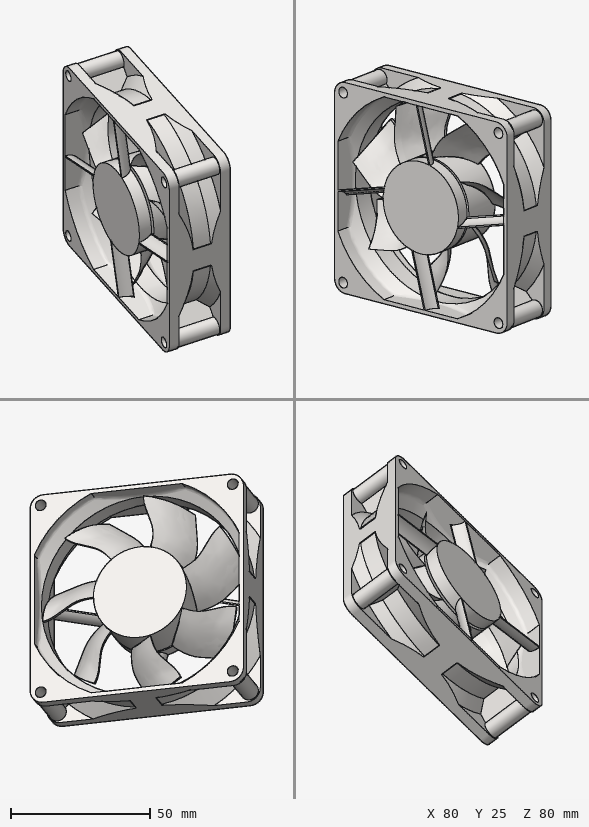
import cadquery as cq
import math


side = 80.0
depth = 25.0
front_y = -depth / 2
back_y = depth / 2
corner_radius = 5.0
flange = 4.0
hole_offset = 36.0
hole_diameter = 4.0
post_radius = 3.3
web_thickness = 2.0
side_bar_width = 9.8

duct_radius = 40.0
duct_front_y = -2.5
duct_back_y = 4.5

bore_radius = 38.0
mouth_radius = 42.0
mouth_half_width = 38.4
mouth_fillet = 2.0
bore_front_y = -3.0
bore_back_y = 5.0
flare_length = 3.5
flare_overrun = 3.2

cap_radius = 17.4
cap_depth = 5.0
cap_back_y = front_y + cap_depth
strut_count = 4
strut_angle = 15.0
strut_front_offset = -8.5
strut_back_offset = -6.1
strut_thickness = 0.6
strut_bow = 0.6
strut_start = 12.0
strut_embed = 0.4

rotor_gap = 1.0
rotor_front_y = cap_back_y + rotor_gap
rotor_back_y = 8.5
rotor_radius = cap_radius
blade_count = 7
blade_angle = 215.0
blade_tip_radius = 37.2
blade_back_y = 8.0
blade_thickness = 1.2
bevel_rise = 2.2
bevel_run = 1.6
hub_bow = 1.0
tip_bow = 1.8
blade_sections = [
    (13.6, 8.5, -1.8),
    (19.2, 9.0, -3.0),
    (24.8, 8.2, -5.4),
    (30.4, 5.8, -10.2),
    (38.4, 1.9, -13.6),
]


def disc(radius, start_y, end_y):
    """A cylinder on the fan axis."""
    return cq.Workplane("XZ", origin=(0, start_y, 0)).circle(radius).extrude(start_y - end_y)


def block(width_x, width_z, start_y, end_y):
    """A box centred on the fan axis."""
    return cq.Workplane("XZ", origin=(0, start_y, 0)).rect(width_x, width_z).extrude(start_y - end_y)


def corner_cylinders(radius):
    """Four full-depth cylinders on the screw positions."""
    return (
        cq.Workplane("XZ", origin=(0, front_y, 0))
        .rect(2 * hole_offset, 2 * hole_offset, forConstruction=True)
        .vertices()
        .circle(radius)
        .extrude(-depth)
    )


def revolved(profile):
    """Turns an outline of (radius, y) points about the fan axis."""
    return cq.Workplane("XY").polyline(profile).close().revolve(360, (0, 0, 0), (0, 1, 0))


def turned(body, angle):
    """Turns a body about the fan axis, counterclockwise as seen from -Y."""
    return body.rotate((0, 0, 0), (0, -1, 0), angle)


def arc_middle(start, end, bow):
    """The middle point of an arc between two (y, offset) points that rises by bow above its chord."""
    rise = end[0] - start[0]
    run = end[1] - start[1]
    chord = math.hypot(rise, run)
    middle_y = (start[0] + end[0]) / 2 - bow * run / chord
    middle_offset = (start[1] + end[1]) / 2 + bow * rise / chord
    return (middle_y, middle_offset)


def vane_outline(plane, outer_front, outer_back, inner_back, inner_front, bow):
    """Draws the section of a curved vane, two equal-bow arcs joined by straight ends."""
    return (
        plane.moveTo(*outer_front)
        .threePointArc(arc_middle(outer_front, outer_back, bow), outer_back)
        .lineTo(*inner_back)
        .threePointArc(arc_middle(inner_back, inner_front, -bow), inner_front)
        .close()
    )


def make_duct_outside():
    """The outer shape of the duct, flared out past the corners of the frame at both faces."""
    return revolved([
        (0, front_y),
        (duct_radius + duct_front_y - front_y, front_y),
        (duct_radius, duct_front_y),
        (duct_radius, duct_back_y),
        (duct_radius + back_y - duct_back_y, back_y),
        (0, back_y),
    ])


def make_mouth(face_y, bore_y):
    """The space inside one end of the duct, from the flare to the outer face."""
    outward = math.copysign(1, face_y)
    throat_y = bore_y - outward * flare_overrun
    flare_slope = (mouth_radius - bore_radius) / flare_length
    flared = revolved([
        (0, throat_y),
        (bore_radius - flare_slope * flare_overrun, throat_y),
        (mouth_radius, bore_y + outward * flare_length),
        (mouth_radius, face_y),
        (0, face_y),
    ])
    mouth = flared.intersect(block(2 * mouth_half_width, 2 * mouth_half_width, throat_y, face_y))
    return mouth.edges("not %LINE").edges("not(<Y or >Y)").fillet(mouth_fillet)


def make_frame():
    """The square frame with its duct, flanges, corner posts and pockets, without the stator."""
    outline = block(side, side, front_y, back_y).edges("|Y").fillet(corner_radius)
    flanges = outline.cut(block(side, side, front_y + flange, back_y - flange))

    core = make_duct_outside()
    core = core.union(block(side_bar_width, side, front_y, back_y))
    core = core.union(block(side, side_bar_width, front_y, back_y))
    post_diagonal = 2 * math.sqrt(2) * hole_offset
    for angle in (45, 135):
        core = core.union(turned(block(post_diagonal, web_thickness, front_y, back_y), angle))
    core = core.union(corner_cylinders(post_radius))

    frame = outline.intersect(core).union(flanges)
    frame = frame.cut(disc(bore_radius, front_y, back_y))
    frame = frame.cut(make_mouth(front_y, bore_front_y))
    frame = frame.cut(make_mouth(back_y, bore_back_y))
    return frame.cut(corner_cylinders(hole_diameter / 2))


def make_strut():
    """One strut along +X, from inside the cap to beyond the wall of the mouth."""
    strut = vane_outline(
        cq.Workplane("YZ", origin=(strut_start, 0, 0)),
        (front_y, strut_front_offset),
        (cap_back_y, strut_back_offset),
        (cap_back_y, strut_back_offset + strut_thickness),
        (front_y, strut_front_offset + strut_thickness),
        -strut_bow,
    )
    return strut.extrude(side - strut_start)


def make_stator():
    """The cap with its struts, trimmed square inside the walls of the mouth."""
    stator = disc(cap_radius, front_y, cap_back_y)
    for index in range(strut_count):
        stator = stator.union(turned(make_strut(), strut_angle + index * 360 / strut_count))
    width = 2 * (mouth_half_width + strut_embed)
    return stator.intersect(block(width, width, front_y, cap_back_y))


def make_housing():
    """The frame and the stator as one body."""
    return make_frame().union(make_stator())


def make_blade():
    """One blade along +X with a bevelled front edge, trimmed to the tip radius."""
    first_distance = blade_sections[0][0]
    last_distance = blade_sections[-1][0]
    sections = cq.Workplane("YZ")
    reached = 0
    for distance, front_offset, back_offset in blade_sections:
        share = (distance - first_distance) / (last_distance - first_distance)
        sections = vane_outline(
            sections.workplane(offset=distance - reached),
            (rotor_front_y, front_offset),
            (blade_back_y, back_offset),
            (blade_back_y - blade_thickness, back_offset),
            (rotor_front_y + bevel_rise, front_offset - bevel_run),
            hub_bow + (tip_bow - hub_bow) * share,
        )
        reached = distance
    return sections.loft().intersect(disc(blade_tip_radius, rotor_front_y, rotor_back_y))


def make_rotor():
    """The hub and its blades as one body."""
    rotor = disc(rotor_radius, rotor_front_y, rotor_back_y)
    blade = make_blade()
    for index in range(blade_count):
        rotor = rotor.union(turned(blade, blade_angle + index * 360 / blade_count))
    return rotor


housing = make_housing()
rotor = make_rotor()
result = cq.Compound.makeCompound([*housing.vals(), *rotor.vals()])